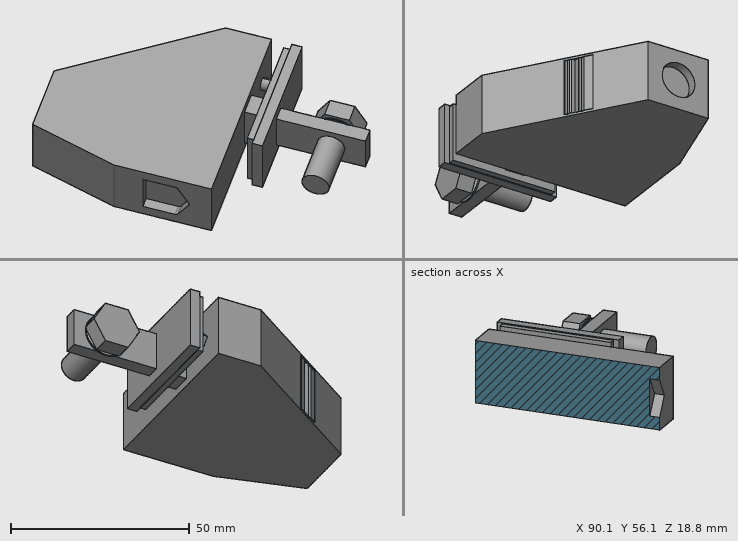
import cadquery as cq
import math

height = 18.8
housing_x = 54.9
housing_y = 56.1
nose_low_y = 7.0
nose_high_y = 27.0
low_corner_x = 26.1
high_corner_x = 41.4

hole_diameter = 10.8
hole_y = 16.9
hole_depth = 3.0

pocket_start_x = 34.7
pocket_shoulder_x = 44.7
pocket_tip_x = 48.4
pocket_half_height = 6.1
pocket_depth = 3.0
pocket_fillet = 0.9

grip_height = 17.3
grip_low_y = 36.7
grip_high_y = 41.7
grip_rise = 0.2
grip_notches = ((38.4, 39.0), (39.3, 40.4), (40.9, 41.45))

gap = 4.05
inner_thickness = 1.9
inner_low_y = 20.6
inner_high_y = 54.5
inner_height = 18.2
outer_thickness = 3.1
outer_low_y = 19.0
inner_x = housing_x + gap
outer_x = inner_x + inner_thickness
blade_x = outer_x + outer_thickness

web_low_y = 30.9
web_high_y = 37.2
web_height = 13.9
pin_radius = 2.1
pin_y = 47.6

blade_end_x = 90.1
blade_low_y = 32.0
blade_high_y = 36.1
blade_height = 11.7
bolt_x = 80.0
shaft_diameter = 8.0
shaft_end_y = 17.3
head_low_y = 37.4
head_high_y = 42.6
head_across_corners = 14.5
washer_top_radius = 5.3
washer_radius = 6.5
washer_rim = 0.45


def block(x_start, x_end, y_start, y_end, z_size):
    """Box between the given X and Y limits, centred on Z = 0."""
    return cq.Workplane("XY").box(
        x_end - x_start, y_end - y_start, z_size, centered=(False, False, True)
    ).translate((x_start, y_start, 0))


def prism(points, z_size):
    """Polygon in XY extruded equally to both sides of Z = 0."""
    return cq.Workplane("XY").polyline(points).close().extrude(z_size / 2, both=True)


def slant_x(y):
    """X of the long slanted side at a given Y."""
    slope = high_corner_x / (housing_y - nose_high_y)
    return (y - nose_high_y) * slope


def make_housing():
    outline = [
        (0, nose_low_y),
        (low_corner_x, 0),
        (housing_x, 0),
        (housing_x, housing_y),
        (high_corner_x, housing_y),
        (0, nose_high_y),
    ]
    return prism(outline, height)


def make_nose_hole():
    return (
        cq.Workplane("YZ").center(hole_y, 0).circle(hole_diameter / 2).extrude(hole_depth)
    )


def make_arrow_pocket():
    outline = [
        (pocket_start_x, -pocket_half_height),
        (pocket_shoulder_x, -pocket_half_height),
        (pocket_tip_x, 0),
        (pocket_shoulder_x, pocket_half_height),
        (pocket_start_x, pocket_half_height),
    ]
    pocket = cq.Workplane("XZ").polyline(outline).close().extrude(-pocket_depth)
    margin = 0.9
    shoulders = cq.selectors.BoxSelector(
        (pocket_shoulder_x - margin, -margin, -height),
        (pocket_shoulder_x + margin, pocket_depth + margin, height),
    )
    return pocket.edges("|Y").edges(shoulders).fillet(pocket_fillet)


def make_grip_pad():
    """Thin pad lying on the slanted side."""
    slant_angle = math.atan2(housing_y - nose_high_y, high_corner_x)
    rise_x = -grip_rise * math.sin(slant_angle)
    rise_y = grip_rise * math.cos(slant_angle)
    low = (slant_x(grip_low_y), grip_low_y)
    high = (slant_x(grip_high_y), grip_high_y)
    outline = [
        low,
        high,
        (high[0] + rise_x, high[1] + rise_y),
        (low[0] + rise_x, low[1] + rise_y),
    ]
    return prism(outline, grip_height)


def make_grip_notch(low_y, high_y):
    """Step with its floor square to X, open through the raised pad."""
    floor_x = slant_x(high_y)
    clear_x = slant_x(low_y) - 2 * grip_rise
    clear_y = high_y + 2 * grip_rise
    outline = [(clear_x, low_y), (floor_x, low_y), (floor_x, clear_y)]
    return prism(outline, grip_height)


def make_pin():
    """Bar along X: round on the -Y half, two flats meeting on the +Y half."""
    return (
        cq.Workplane("YZ", origin=(housing_x, pin_y, 0))
        .moveTo(0, pin_radius)
        .lineTo(pin_radius, 0)
        .lineTo(0, -pin_radius)
        .threePointArc((-pin_radius, 0), (0, pin_radius))
        .close()
        .extrude(gap)
    )


def make_bolt():
    """Bolt along Y with a hexagonal head and a conical washer."""
    profile = [
        (0, shaft_end_y),
        (shaft_diameter / 2, shaft_end_y),
        (shaft_diameter / 2, blade_high_y),
        (washer_radius, blade_high_y),
        (washer_radius, blade_high_y + washer_rim),
        (washer_top_radius, head_low_y),
        (0, head_low_y),
    ]
    shaft = cq.Workplane("XY").polyline(profile).close().revolve(360, (0, 0), (0, 1))
    head = (
        cq.Workplane("XZ", origin=(0, head_low_y, 0))
        .polygon(6, head_across_corners)
        .extrude(head_low_y - head_high_y)
    )
    return shaft.union(head).translate((bolt_x, 0, 0))


result = make_housing().cut(make_nose_hole()).cut(make_arrow_pocket()).union(make_grip_pad())
for notch_low_y, notch_high_y in grip_notches:
    result = result.cut(make_grip_notch(notch_low_y, notch_high_y))

web = block(housing_x, inner_x, web_low_y, web_high_y, web_height)
inner_plate = block(inner_x, outer_x, inner_low_y, inner_high_y, inner_height)
outer_plate = block(outer_x, blade_x, outer_low_y, housing_y, height)
blade = block(blade_x, blade_end_x, blade_low_y, blade_high_y, blade_height)
for piece in (web, make_pin(), inner_plate, outer_plate, blade, make_bolt()):
    result = result.union(piece)